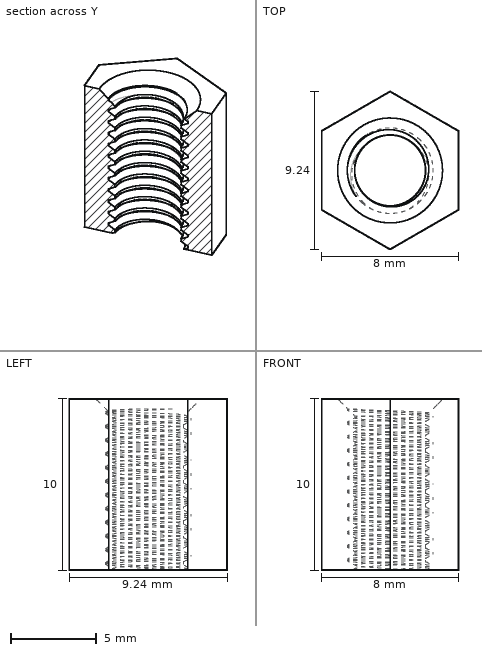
import cadquery as cq
import math

across_flats = 8.0
height = 10.0
half_sector = 30.0
across_corners = across_flats / math.cos(math.radians(half_sector))

major_diameter = 5.0
major_radius = major_diameter / 2
pitch = 0.8
sharp_height = pitch * math.sqrt(3) / 2
thread_depth = sharp_height * 5 / 8
minor_radius = major_radius - thread_depth
root_width = pitch / 8
half_thread_angle = 30.0
flank_slope = math.tan(math.radians(half_thread_angle))
groove_start_angle = -90.0
groove_extra_turns = 1

countersink_depth = 1.0

groove_overlap = 0.05


def hex_body():
    """Hexagonal prism with corners on the Y axis and flats facing X."""
    return (
        cq.Workplane("XY")
        .transformed(rotate=(0, 0, half_sector))
        .polygon(6, across_corners)
        .extrude(height)
    )


def countersunk_bore():
    """Through bore at the thread's minor diameter, opening in a cone at the top."""
    rim_radius = minor_radius + countersink_depth
    return (
        cq.Workplane("XZ")
        .moveTo(0, 0)
        .lineTo(minor_radius, 0)
        .lineTo(minor_radius, height - countersink_depth)
        .lineTo(rim_radius, height)
        .lineTo(0, height)
        .close()
        .revolve(360, (0, 0, 0), (0, 1, 0))
    )


def thread_groove():
    """Helical V groove with a flat root, running past both ends of the body."""
    start_height = -groove_extra_turns * pitch
    rise = (math.ceil(height / pitch) + 2 * groove_extra_turns) * pitch
    inner_radius = minor_radius - groove_overlap
    half_root = root_width / 2
    half_mouth = half_root + (major_radius - inner_radius) * flank_slope

    corners = [
        (inner_radius, start_height - half_mouth),
        (major_radius, start_height - half_root),
        (major_radius, start_height + half_root),
        (inner_radius, start_height + half_mouth),
    ]
    helices = [
        cq.Wire.makeHelix(pitch, rise, radius).translate(cq.Vector(0, 0, z))
        for radius, z in corners
    ]

    faces = [
        cq.Face.makeRuledSurface(helices[i - 1], helices[i])
        for i in range(len(helices))
    ]
    for lift in (0, rise):
        outline = [cq.Vector(radius, 0, z + lift) for radius, z in corners]
        faces.append(cq.Face.makeFromWires(cq.Wire.makePolygon(outline, close=True)))

    groove = cq.Solid.makeSolid(cq.Shell.makeShell(faces))
    return cq.Workplane(groove).rotate((0, 0, 0), (0, 0, 1), groove_start_angle)


result = hex_body().cut(thread_groove()).cut(countersunk_bore()).solids()